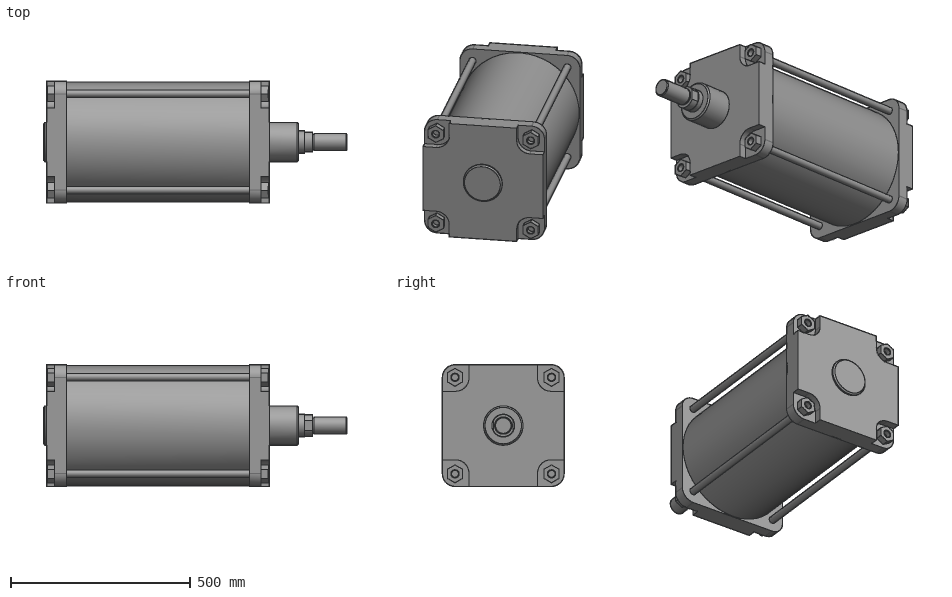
import cadquery as cq
import math

LENGTH = 846.0
REAR_BOSS_LENGTH = 8.5
CAP_THICKNESS = 56.0
BARREL_LENGTH = 509.0
NECK_LENGTH = 82.0
REAR_CAP_START = REAR_BOSS_LENGTH
BARREL_START = REAR_CAP_START + CAP_THICKNESS
BARREL_END = BARREL_START + BARREL_LENGTH
FRONT_CAP_END = BARREL_END + CAP_THICKNESS
NECK_END = FRONT_CAP_END + NECK_LENGTH

CAP_SIDE = 340.0
CAP_CORNER_RADIUS = 36.0
POCKET_SIDE = 74.5
POCKET_DEPTH = 23.0
POCKET_RADIUS = 37.0
BOSS_DIAMETER = 110.0
BOSS_CHAMFER = 4.0

BARREL_DIAMETER = 336.0

ROD_DIAMETER = 63.5
COLLAR_LENGTH = 16.0
FLATS_LENGTH = 23.0
FLATS_DIAMETER = 62.0
FLATS_WIDTH = 55.0
UNDERCUT_LENGTH = 4.0
UNDERCUT_DIAMETER = 43.0
STUD_DIAMETER = 48.0
STUD_CHAMFER = 2.5

TIE_OFFSET = 134.5
TIE_DIAMETER = 20.0
NUT_ACROSS_FLATS = 43.0
NUT_THICKNESS = 20.0
NUT_SIDES = 6
NUT_HALF_SECTOR = 180 / NUT_SIDES
SOCKET_DIAMETER = 19.5
SOCKET_MOUTH_DIAMETER = 23.0
SOCKET_DEPTH = 17.0

CORNER_SIGNS = [(-1, -1), (-1, 1), (1, -1), (1, 1)]


def section_at(x):
    """Workplane across the X axis: local x is Y, local y is Z."""
    return cq.Workplane("YZ", origin=(x, 0, 0))


def disc(x, diameter, length):
    return section_at(x).circle(diameter / 2).extrude(length)


def cap_block(inner_face, outward):
    """Square cap grown from its inner face in the outward X direction (+1 or -1), with cut corners."""
    cap = section_at(inner_face).rect(CAP_SIDE, CAP_SIDE).extrude(outward * CAP_THICKNESS)
    cap = cap.edges("|X").fillet(CAP_CORNER_RADIUS)
    return cut_corners(cap, inner_face, outward)


def cut_corners(cap, inner_face, outward):
    """Sink a nut pocket and a tie rod hole into each corner of a cap."""
    pocket_floor = inner_face + outward * (CAP_THICKNESS - POCKET_DEPTH)
    pocket_centers = [(y * CAP_SIDE / 2, z * CAP_SIDE / 2) for y, z in CORNER_SIGNS]
    pockets = (
        section_at(pocket_floor)
        .pushPoints(pocket_centers)
        .rect(2 * POCKET_SIDE, 2 * POCKET_SIDE)
        .extrude(outward * POCKET_DEPTH)
        .edges("|X")
        .fillet(POCKET_RADIUS)
    )
    hole_centers = [(y * TIE_OFFSET, z * TIE_OFFSET) for y, z in CORNER_SIGNS]
    holes = (
        section_at(inner_face)
        .pushPoints(hole_centers)
        .circle(TIE_DIAMETER / 2)
        .extrude(outward * CAP_THICKNESS)
    )
    return cap.cut(pockets).cut(holes)


def make_rear_cap():
    boss = disc(0, BOSS_DIAMETER, REAR_BOSS_LENGTH).faces("<X").chamfer(BOSS_CHAMFER)
    return cap_block(BARREL_START, -1).union(boss)


def make_front_cap():
    neck = disc(FRONT_CAP_END, BOSS_DIAMETER, NECK_LENGTH).faces(">X").chamfer(BOSS_CHAMFER)
    bore = disc(BARREL_END, ROD_DIAMETER, NECK_END - BARREL_END)
    return cap_block(BARREL_END, 1).union(neck).cut(bore)


def make_piston_rod():
    flats_start = NECK_END + COLLAR_LENGTH
    flats_end = flats_start + FLATS_LENGTH
    stud_start = flats_end + UNDERCUT_LENGTH
    shank = disc(BARREL_END, ROD_DIAMETER, flats_start - BARREL_END)
    wrench_flats = disc(flats_start, FLATS_DIAMETER, FLATS_LENGTH).intersect(
        section_at(flats_start).rect(FLATS_WIDTH, FLATS_DIAMETER).extrude(FLATS_LENGTH)
    )
    undercut = disc(flats_end, UNDERCUT_DIAMETER, UNDERCUT_LENGTH)
    stud = disc(stud_start, STUD_DIAMETER, LENGTH - stud_start).faces(">X").chamfer(STUD_CHAMFER)
    return shank.union(wrench_flats).union(undercut).union(stud)


def socket_mouth(nut_face, outward):
    """45 degree cone that widens a socket where it meets the nut face."""
    mouth_radius = SOCKET_MOUTH_DIAMETER / 2
    cone_depth = mouth_radius - SOCKET_DIAMETER / 2
    cone = cq.Solid.makeCone(
        mouth_radius,
        SOCKET_DIAMETER / 2,
        cone_depth,
        pnt=cq.Vector(nut_face, 0, 0),
        dir=cq.Vector(-outward, 0, 0),
    )
    return cq.Workplane(obj=cone)


def make_tie_rod(y, z):
    """Rod through both caps, with a hex nut (a vertex pointing up) and a socket at each end."""
    rear_floor = REAR_CAP_START + POCKET_DEPTH
    front_floor = FRONT_CAP_END - POCKET_DEPTH
    vertex_diameter = NUT_ACROSS_FLATS / math.cos(math.radians(NUT_HALF_SECTOR))
    body = disc(rear_floor, TIE_DIAMETER, front_floor - rear_floor)
    for floor, outward in [(rear_floor, -1), (front_floor, 1)]:
        nut = (
            section_at(floor)
            .polygon(NUT_SIDES, vertex_diameter)
            .extrude(outward * NUT_THICKNESS)
            .rotate((0, 0, 0), (1, 0, 0), NUT_HALF_SECTOR)
        )
        nut_face = floor + outward * NUT_THICKNESS
        socket = disc(nut_face, SOCKET_DIAMETER, -outward * SOCKET_DEPTH)
        body = body.union(nut).cut(socket).cut(socket_mouth(nut_face, outward))
    return body.translate((0, y, z))


rear_cap = make_rear_cap()
barrel = disc(BARREL_START, BARREL_DIAMETER, BARREL_LENGTH)
front_cap = make_front_cap()
piston_rod = make_piston_rod()
tie_rods = [make_tie_rod(y * TIE_OFFSET, z * TIE_OFFSET) for y, z in CORNER_SIGNS]

result = cq.Compound.makeCompound(
    [rear_cap.val(), barrel.val(), front_cap.val(), piston_rod.val()] + [tie.val() for tie in tie_rods]
)